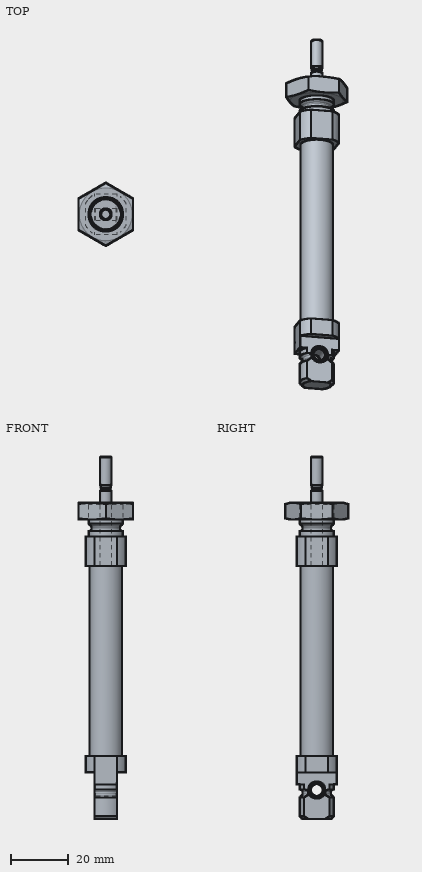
import cadquery as cq
import math

total_height = 126.0
mount_face_z = 110.0
front_block_top = 98.3
front_block_bottom = 88.0
rear_block_top = 21.9
rear_step_z = 16.3
rear_block_bottom = 12.1

tube_diameter = 11.3
thread_diameter = 12.0
thread_root_diameter = 10.6
thread_chamfer = (thread_diameter - thread_root_diameter) / 2
groove_diameter = 10.0
groove_fillet = 0.6
runout_arc_rise = groove_fillet * (1 - math.cos(math.radians(45)))
runout_arc_height = groove_fillet * math.sin(math.radians(45))
runout_cone = (thread_diameter - groove_diameter) / 2 - runout_arc_rise
block_width = 14.0
block_corner_diameter = 16.0
front_groove_bottom = 100.2
front_groove_top = 102.7
rear_groove_bottom = 7.4
rear_groove_top = 10.2
foot_chamfer = 1.0

eye_thickness = 8.0
eye_z = 10.1
eye_diameter = 4.2
eye_recess_diameter = 5.0
eye_countersink_diameter = 5.9

rod_diameter = 4.0
rod_undercut_diameter = 3.2
rod_thread_root_diameter = 3.5
rod_tip_chamfer = 0.4
rod_thread_bottom = 116.2
rod_root_bottom = 115.3
rod_undercut_bottom = 114.5
rod_shoulder_z = 114.0

nut_width = 19.0
nut_height = 5.9
nut_chamfer_diameter = 18.4
nut_chamfer_angle = 15.0


def cylinder(diameter, bottom, top):
    return cq.Workplane("XY", origin=(0, 0, bottom)).circle(diameter / 2).extrude(top - bottom)


def revolved(profile):
    """Revolve a closed list of (radius, z) points about the Z axis."""
    return cq.Workplane("XZ").polyline(profile).close().revolve(360, (0, 0), (0, 1))


def square_block(bottom, top):
    """Square wrench block with its corners rounded to a common cylinder."""
    height = top - bottom
    square = cq.Workplane("XY", origin=(0, 0, bottom)).rect(block_width, block_width).extrude(height)
    return square.intersect(cylinder(block_corner_diameter, bottom, top))


def make_front_neck():
    thread_radius = thread_diameter / 2
    groove_radius = groove_diameter / 2
    neck = (
        cq.Workplane("XZ")
        .moveTo(0, front_block_top)
        .lineTo(thread_radius, front_block_top)
        .lineTo(thread_radius, front_groove_bottom)
        .lineTo(groove_radius + groove_fillet, front_groove_bottom)
        .radiusArc((groove_radius, front_groove_bottom + groove_fillet), groove_fillet)
        .lineTo(groove_radius, front_groove_top - runout_cone - runout_arc_height)
        .radiusArc((thread_radius - runout_cone, front_groove_top - runout_cone), groove_fillet)
        .lineTo(thread_radius, front_groove_top)
        .lineTo(thread_radius, mount_face_z - thread_chamfer)
        .lineTo(thread_radius - thread_chamfer, mount_face_z)
        .lineTo(0, mount_face_z)
        .close()
    )
    return neck.revolve(360, (0, 0), (0, 1))


def make_rear_neck():
    thread_radius = thread_diameter / 2
    groove_radius = groove_diameter / 2
    neck = (
        cq.Workplane("XZ")
        .lineTo(thread_radius - foot_chamfer, 0)
        .lineTo(thread_radius, foot_chamfer)
        .lineTo(thread_radius, rear_groove_bottom)
        .lineTo(thread_radius - runout_cone, rear_groove_bottom + runout_cone)
        .radiusArc((groove_radius, rear_groove_bottom + runout_cone + runout_arc_height), groove_fillet)
        .lineTo(groove_radius, rear_groove_top - groove_fillet)
        .radiusArc((groove_radius + groove_fillet, rear_groove_top), groove_fillet)
        .lineTo(thread_radius, rear_groove_top)
        .lineTo(thread_radius, rear_block_bottom)
        .lineTo(0, rear_block_bottom)
        .close()
    )
    return neck.revolve(360, (0, 0), (0, 1))


def make_eye_cutter():
    """Cross hole along X, with a shallow flat-bottomed countersink on both flats."""
    half_thickness = eye_thickness / 2
    hole_radius = eye_diameter / 2
    recess_radius = eye_recess_diameter / 2
    sink_radius = eye_countersink_diameter / 2
    floor_x = half_thickness - (sink_radius - recess_radius)
    profile = [
        (-half_thickness, 0),
        (-half_thickness, sink_radius),
        (-floor_x, recess_radius),
        (-floor_x, hole_radius),
        (floor_x, hole_radius),
        (floor_x, recess_radius),
        (half_thickness, sink_radius),
        (half_thickness, 0),
    ]
    cutter = cq.Workplane("XY").polyline(profile).close().revolve(360, (0, 0), (1, 0))
    return cutter.translate((0, 0, eye_z))


def make_rear_cap():
    cap = square_block(rear_block_bottom, rear_block_top).union(make_rear_neck())
    eye_slab = cq.Workplane("XY").rect(eye_thickness, block_width).extrude(rear_step_z)
    upper_block = square_block(rear_step_z, rear_block_top)
    return cap.intersect(eye_slab.union(upper_block)).cut(make_eye_cutter())


def make_housing():
    tube = cylinder(tube_diameter, rear_block_top, front_block_bottom)
    front_block = square_block(front_block_bottom, front_block_top)
    rod_bore = cylinder(rod_diameter, front_block_bottom, mount_face_z)
    return tube.union(front_block).union(make_front_neck()).union(make_rear_cap()).cut(rod_bore)


def make_piston_rod():
    rod_radius = rod_diameter / 2
    root_radius = rod_thread_root_diameter / 2
    undercut_radius = rod_undercut_diameter / 2
    return revolved([
        (0, front_block_bottom),
        (rod_radius, front_block_bottom),
        (rod_radius, rod_shoulder_z),
        (undercut_radius, rod_undercut_bottom),
        (undercut_radius, rod_root_bottom),
        (root_radius, rod_root_bottom),
        (root_radius, rod_thread_bottom),
        (rod_radius, rod_thread_bottom),
        (rod_radius, total_height - rod_tip_chamfer),
        (rod_radius - rod_tip_chamfer, total_height),
        (0, total_height),
    ])


def make_nut():
    bottom = mount_face_z - nut_height
    corner_diameter = nut_width / math.cos(math.radians(30))
    corner_radius = corner_diameter / 2
    face_radius = nut_chamfer_diameter / 2
    chamfer_drop = (corner_radius - face_radius) * math.tan(math.radians(nut_chamfer_angle))
    hexagon = cq.Workplane("XY", origin=(0, 0, bottom)).polygon(6, corner_diameter).extrude(nut_height)
    hexagon = hexagon.rotate((0, 0, 0), (0, 0, 1), 30)
    chamfered_disc = revolved([
        (0, bottom),
        (face_radius, bottom),
        (corner_radius, bottom + chamfer_drop),
        (corner_radius, mount_face_z - chamfer_drop),
        (face_radius, mount_face_z),
        (0, mount_face_z),
    ])
    return hexagon.intersect(chamfered_disc).cut(cylinder(thread_diameter, bottom, mount_face_z))


housing = make_housing()
piston_rod = make_piston_rod()
nut = make_nut()

result = cq.Compound.makeCompound([housing.val(), piston_rod.val(), nut.val()])